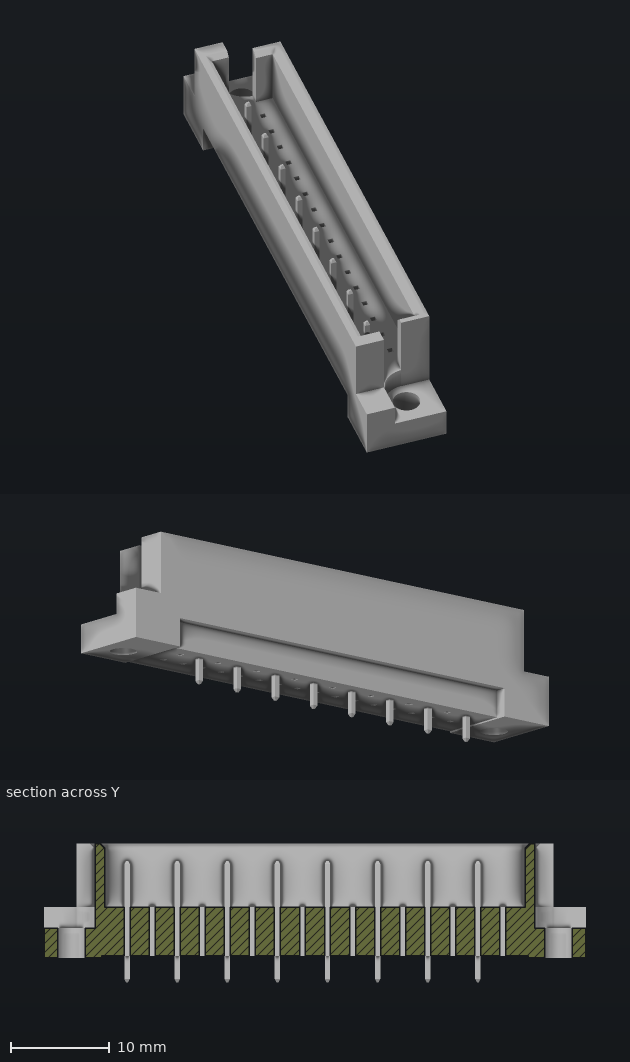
import cadquery as cq

LENGTH = 55.0
WIDTH = 8.6
HEIGHT = 11.6
FRONT_Y = -WIDTH / 2
REAR_Y = WIDTH / 2

EAR_HEIGHT = 3.0
FLOOR_Z = 5.15
HOLE_X = 24.7
HOLE_Y = 1.0
HOLE_DIAMETER = 2.8
CLEARANCE_X = 25.1
CLEARANCE_Y = 1.45
CLEARANCE_RADIUS = 2.8

SLOT_HALF_WIDTH = 1.25
FRONT_SHROUD_LENGTH = 48.4
REAR_SHROUD_LENGTH = 44.65
FRONT_CAVITY_LENGTH = 44.65
REAR_CAVITY_LENGTH = 42.55
CAVITY_FRONT_Y = -3.1
CAVITY_REAR_Y = 3.1
LEAD_IN = 0.5
LEAD_IN_DEPTH = 0.5

RELIEF_LENGTH = 43.25
UNDERSIDE_STEP = 0.15
FRONT_RELIEF_HEIGHT = 2.95
FRONT_RELIEF_DEPTH = 1.2

POSITIONS = 16
ROW_LENGTH = 38.1
PITCH = ROW_LENGTH / (POSITIONS - 1)
ROW_Y = PITCH / 2
PIN_SIZE = 0.55
PIN_BOTTOM_Z = -2.5
PIN_TOP_Z = 9.85
PIN_TIP_LENGTH = 0.35
PIN_TIP_SIZE = 0.2

CONTACT_X = [(i - (POSITIONS - 1) / 2) * PITCH for i in range(POSITIONS)]
PIN_X = CONTACT_X[1::2]


def block(length, y_min, y_max, z_min, z_max):
    """Box centred on X = 0 between the given Y and Z limits."""
    return (
        cq.Workplane("XY", origin=(0, (y_min + y_max) / 2, z_min))
        .box(length, y_max - y_min, z_max - z_min, centered=(True, True, False))
    )


def tapered_block(length, y_min, y_max, z_min, z_max, growth):
    """Block that widens by growth on all four sides from z_min to z_max."""
    width = y_max - y_min
    return (
        cq.Workplane("XY", origin=(0, (y_min + y_max) / 2, z_min))
        .rect(length, width)
        .workplane(offset=z_max - z_min)
        .rect(length + 2 * growth, width + 2 * growth)
        .loft(ruled=True)
    )


def make_outer_body():
    ears = block(LENGTH, FRONT_Y, REAR_Y, 0, EAR_HEIGHT)
    raised_front = block(LENGTH, FRONT_Y, -SLOT_HALF_WIDTH, 0, FLOOR_Z)
    center = block(FRONT_SHROUD_LENGTH, -SLOT_HALF_WIDTH, SLOT_HALF_WIDTH, 0, FLOOR_Z)
    clearance = (
        cq.Workplane("XY", origin=(0, 0, EAR_HEIGHT))
        .pushPoints([(-CLEARANCE_X, CLEARANCE_Y), (CLEARANCE_X, CLEARANCE_Y)])
        .circle(CLEARANCE_RADIUS)
        .extrude(FLOOR_Z - EAR_HEIGHT)
    )
    front_shroud = block(FRONT_SHROUD_LENGTH, FRONT_Y, -SLOT_HALF_WIDTH, 0, HEIGHT)
    rear_shroud = block(REAR_SHROUD_LENGTH, SLOT_HALF_WIDTH, REAR_Y, 0, HEIGHT)
    return (
        center.cut(clearance)
        .union(ears)
        .union(raised_front)
        .union(front_shroud)
        .union(rear_shroud)
    )


def make_cavity():
    bevel_z = HEIGHT - LEAD_IN_DEPTH
    front_limits = block(LENGTH, FRONT_Y, 0, FLOOR_Z, HEIGHT)
    rear_limits = block(LENGTH, SLOT_HALF_WIDTH, REAR_Y, FLOOR_Z, HEIGHT)
    front = block(FRONT_CAVITY_LENGTH, CAVITY_FRONT_Y, 0, FLOOR_Z, HEIGHT)
    rear = block(REAR_CAVITY_LENGTH, 0, CAVITY_REAR_Y, FLOOR_Z, HEIGHT)
    front_bevel = tapered_block(
        FRONT_CAVITY_LENGTH, CAVITY_FRONT_Y, CAVITY_REAR_Y, bevel_z, HEIGHT, LEAD_IN
    ).intersect(front_limits)
    rear_bevel = tapered_block(
        REAR_CAVITY_LENGTH, CAVITY_FRONT_Y, CAVITY_REAR_Y, bevel_z, HEIGHT, LEAD_IN
    ).intersect(rear_limits)
    return front.union(rear).union(front_bevel).union(rear_bevel)


def make_underside_relief():
    step = block(RELIEF_LENGTH, FRONT_Y, REAR_Y, 0, UNDERSIDE_STEP)
    notch = block(RELIEF_LENGTH, FRONT_Y, FRONT_Y + FRONT_RELIEF_DEPTH, 0, FRONT_RELIEF_HEIGHT)
    return step.union(notch)


def make_mounting_holes():
    return (
        cq.Workplane("XY")
        .pushPoints([(-HOLE_X, HOLE_Y), (HOLE_X, HOLE_Y)])
        .circle(HOLE_DIAMETER / 2)
        .extrude(HEIGHT)
    )


def make_contact_holes():
    centers = [(x, y) for y in (-ROW_Y, ROW_Y) for x in CONTACT_X]
    return cq.Workplane("XY").pushPoints(centers).rect(PIN_SIZE, PIN_SIZE).extrude(FLOOR_Z)


def make_housing():
    return (
        make_outer_body()
        .cut(make_cavity())
        .cut(make_underside_relief())
        .cut(make_mounting_holes())
        .cut(make_contact_holes())
    )


def make_pin(x):
    """Square pin at position x in the front row, tapered at both ends."""
    shank_bottom = PIN_BOTTOM_Z + PIN_TIP_LENGTH
    shank_top = PIN_TOP_Z - PIN_TIP_LENGTH
    taper = (PIN_SIZE - PIN_TIP_SIZE) / 2
    half = PIN_SIZE / 2
    half_tip = PIN_TIP_SIZE / 2
    shank = block(PIN_SIZE, -half, half, shank_bottom, shank_top)
    lower_tip = tapered_block(PIN_TIP_SIZE, -half_tip, half_tip, PIN_BOTTOM_Z, shank_bottom, taper)
    upper_tip = tapered_block(PIN_SIZE, -half, half, shank_top, PIN_TOP_Z, -taper)
    return shank.union(lower_tip).union(upper_tip).translate((x, -ROW_Y, 0))


housing = make_housing()
pins = [make_pin(x) for x in PIN_X]

result = cq.Compound.makeCompound([housing.solids().val(), *[pin.solids().val() for pin in pins]])